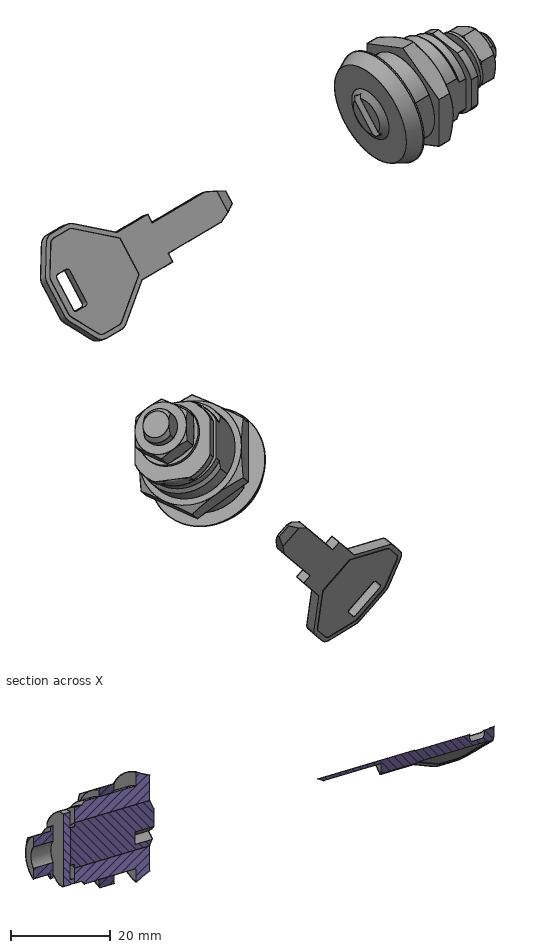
import cadquery as cq
import math

KEY_ANGLE = 45

FLANGE_DIAMETER = 25.0
FLANGE_FACE_DIAMETER = 22.0
FLANGE_THICKNESS = 3.5
FLANGE_RIM = 0.3
BARREL_DIAMETER = 19.3
BARREL_LENGTH = 15.0
FLAT_TO_FLAT = 15.9
RELIEF_DIAMETER = 17.8
RELIEF_LENGTH = 1.7
RELIEF_CONE_LENGTH = 0.7

CORE_DIAMETER = 11.4
CORE_BOSS_DIAMETER = 10.1
NOSE_TIP_DIAMETER = 8.0
NOSE_LENGTH = 1.0
CORE_END = 16.0
STUD_DIAMETER = 7.2
STUD_FLAT_TO_FLAT = 5.5
STUD_END = 27.5
STUD_CHAMFER_LENGTH = 0.9
STUD_CHAMFER_DEPTH = 0.8
SLOT_LENGTH = 9.2
SLOT_WIDTH = 2.4
SLOT_DEPTH = 4.6

MOUNTING_NUT_ACROSS_CORNERS = 25.4
MOUNTING_NUT_START = 5.2
MOUNTING_NUT_THICKNESS = 3.8

STOP_THICKNESS = 1.7
STOP_DIAMETER = 18.0
STOP_FLAT_TO_FLAT = 16.2
STOP_OFFSET = 0.3
TAB_OUTER_RADIUS = 8.9
TAB_INNER_RADIUS = 7.6
TAB_BEND_RADIUS = 0.6
TAB_ANGLE = 42

FLANGED_NUT_ACROSS_CORNERS = 12.8
FLANGED_NUT_START = 20.1
FLANGED_NUT_END = 25.0
NUT_FLANGE_DIAMETER = 12.9
NUT_FLANGE_THICKNESS = 0.7

NUT_CHAMFER_ANGLE = 30

KEY_TIP_Y = -41.1
KEY_LENGTH = 46.5
KEY_THICKNESS = 2.2
TIP_WIDTH = 2.9
TIP_THICKNESS = 0.5
TIP_BEVEL_LENGTH = 2.3
TIP_TAPER_LENGTH = 4.7
BLADE_WIDTH = 6.9
BLADE_LENGTH = 18.7
NECK_WIDTH = 10.8
NECK_END = 26.9
BOW_WIDTH = 23.8
BOW_WIDE_START = 35.5
BOW_WIDE_END = 41.6
BOW_END_WIDTH = 9.1
BOW_CORNER_RADIUS = 2.5
RECESS_MARGIN = 1.0
RECESS_DEPTH = 0.1
WINDOW_START = 40.5
WINDOW_LENGTH = 3.5
WINDOW_WIDTH = 8.3
WINDOW_CORNER_RADIUS = 0.6


def cross_section(y):
    """Workplane at height y on the lock axis: local x is X, local y is Z, +Y is a negative extrusion."""
    return cq.Workplane(cq.Plane(origin=(0, y, 0), xDir=(1, 0, 0), normal=(0, -1, 0)))


def disc(diameter, start, end):
    return cross_section(start).circle(diameter / 2).extrude(start - end)


def block(width, height, start, end):
    return cross_section(start).rect(width, height).extrude(start - end)


def turned(profile, angle=360):
    """Solid of revolution about the lock axis from (radius, y) points."""
    return cq.Workplane("XY").polyline(profile).close().revolve(angle, (0, 0, 0), (0, 1, 0))


def hexagon(across_corners, start, end):
    """Hexagonal prism with two corners on the Z axis."""
    prism = cross_section(start).polygon(6, across_corners).extrude(start - end)
    return prism.rotate((0, 0, 0), (0, 1, 0), 90)


def hex_nut(across_corners, start, end, bevel_front):
    """Hexagonal prism with conically beveled corners at its rear end and, if asked, at its front end."""
    corner = across_corners / 2
    inscribed = corner * math.sqrt(3) / 2
    drop = (corner - inscribed) * math.tan(math.radians(NUT_CHAMFER_ANGLE))
    front = [(corner, start)]
    if bevel_front:
        front = [(inscribed, start), (corner, start + drop)]
    rear = [(corner, end - drop), (inscribed, end)]
    envelope = turned([(0, start), *front, *rear, (0, end)])
    return hexagon(across_corners, start, end).intersect(envelope)


def make_housing():
    flange = turned([
        (0, -FLANGE_THICKNESS),
        (FLANGE_FACE_DIAMETER / 2, -FLANGE_THICKNESS),
        (FLANGE_DIAMETER / 2, -FLANGE_RIM),
        (FLANGE_DIAMETER / 2, 0),
        (0, 0),
    ])
    relief_start = BARREL_LENGTH - RELIEF_LENGTH
    barrel = turned([
        (0, 0),
        (BARREL_DIAMETER / 2, 0),
        (BARREL_DIAMETER / 2, relief_start - RELIEF_CONE_LENGTH),
        (RELIEF_DIAMETER / 2, relief_start),
        (RELIEF_DIAMETER / 2, BARREL_LENGTH),
        (0, BARREL_LENGTH),
    ])
    barrel = barrel.intersect(block(FLAT_TO_FLAT, BARREL_DIAMETER, 0, BARREL_LENGTH))
    bore = disc(CORE_DIAMETER, -FLANGE_THICKNESS, BARREL_LENGTH)
    return flange.union(barrel).cut(bore)


def make_stud():
    radius = STUD_DIAMETER / 2
    stud = turned([
        (0, CORE_END),
        (radius, CORE_END),
        (radius, STUD_END - STUD_CHAMFER_LENGTH),
        (radius - STUD_CHAMFER_DEPTH, STUD_END),
        (0, STUD_END),
    ])
    return stud.intersect(block(STUD_FLAT_TO_FLAT, STUD_DIAMETER, CORE_END, STUD_END))


def make_core():
    nose_tip = -FLANGE_THICKNESS - NOSE_LENGTH
    body = turned([
        (0, nose_tip),
        (NOSE_TIP_DIAMETER / 2, nose_tip),
        (CORE_DIAMETER / 2, -FLANGE_THICKNESS),
        (CORE_DIAMETER / 2, BARREL_LENGTH),
        (CORE_BOSS_DIAMETER / 2, BARREL_LENGTH),
        (CORE_BOSS_DIAMETER / 2, CORE_END),
        (0, CORE_END),
    ])
    slot = block(SLOT_LENGTH, SLOT_WIDTH, nose_tip, nose_tip + SLOT_DEPTH)
    slot = slot.rotate((0, 0, 0), (0, 1, 0), KEY_ANGLE)
    return body.union(make_stud()).cut(slot)


def make_mounting_nut():
    start = MOUNTING_NUT_START
    end = start + MOUNTING_NUT_THICKNESS
    nut = hex_nut(MOUNTING_NUT_ACROSS_CORNERS, start, end, bevel_front=False)
    return nut.cut(disc(BARREL_DIAMETER, start, end))


def make_stop_tab(rear):
    """Sector-shaped tab, centred below the axis, bent forward from the plate to the barrel end."""
    tab = turned([
        (TAB_INNER_RADIUS, BARREL_LENGTH),
        (TAB_OUTER_RADIUS, BARREL_LENGTH),
        (TAB_OUTER_RADIUS, rear),
        (TAB_INNER_RADIUS, rear),
    ], TAB_ANGLE)
    outer_rear_edge = cq.selectors.RadiusNthSelector(-1)
    tab = tab.faces(">Y").edges("%CIRCLE").edges(outer_rear_edge).fillet(TAB_BEND_RADIUS)
    return tab.rotate((0, 0, 0), (0, 1, 0), 90 - TAB_ANGLE / 2)


def make_stop_plate():
    rear = CORE_END + STOP_THICKNESS
    plate = disc(STOP_DIAMETER, CORE_END, rear)
    plate = plate.intersect(block(STOP_FLAT_TO_FLAT, STOP_FLAT_TO_FLAT, CORE_END, rear))
    plate = plate.translate((STOP_OFFSET, 0, -STOP_OFFSET))
    return plate.union(make_stop_tab(rear)).cut(make_stud())


def make_flanged_nut():
    hex_start = FLANGED_NUT_START + NUT_FLANGE_THICKNESS
    flange = disc(NUT_FLANGE_DIAMETER, FLANGED_NUT_START, hex_start)
    nut = hex_nut(FLANGED_NUT_ACROSS_CORNERS, hex_start, FLANGED_NUT_END, bevel_front=True)
    return flange.union(nut).cut(disc(STUD_DIAMETER, FLANGED_NUT_START, FLANGED_NUT_END))


def key_plate(widths, thickness):
    """Flat plate, symmetric about the key axis, from (full width, distance from tip) pairs."""
    right = [(width / 2, -distance) for width, distance in widths]
    left = [(-x, y) for x, y in reversed(right)]
    return cq.Workplane("XY").polyline(right + left).close().extrude(thickness / 2, both=True)


def make_key_shank():
    shank = key_plate([
        (TIP_WIDTH, 0),
        (BLADE_WIDTH, TIP_TAPER_LENGTH),
        (BLADE_WIDTH, BLADE_LENGTH),
        (NECK_WIDTH, BLADE_LENGTH),
        (NECK_WIDTH, NECK_END),
    ], KEY_THICKNESS)
    half_tip = TIP_THICKNESS / 2
    half_body = KEY_THICKNESS / 2
    side_profile = [
        (0, half_tip),
        (-TIP_BEVEL_LENGTH, half_body),
        (-NECK_END, half_body),
        (-NECK_END, -half_body),
        (-TIP_BEVEL_LENGTH, -half_body),
        (0, -half_tip),
    ]
    beveled = cq.Workplane("YZ").polyline(side_profile).close().extrude(NECK_WIDTH / 2, both=True)
    return shank.intersect(beveled)


def make_bow_plate(extension=0):
    """Bow with all but its two neck corners rounded; its sloping sides can be extended past the neck."""
    side_slope = (BOW_WIDTH - NECK_WIDTH) / (BOW_WIDE_START - NECK_END)
    plate = key_plate([
        (NECK_WIDTH - side_slope * extension, NECK_END - extension),
        (BOW_WIDTH, BOW_WIDE_START),
        (BOW_WIDTH, BOW_WIDE_END),
        (BOW_END_WIDTH, KEY_LENGTH),
    ], KEY_THICKNESS)
    corners = cq.StringSyntaxSelector("|Z")
    neck_corners = cq.StringSyntaxSelector(">Y")
    return plate.edges(cq.selectors.SubtractSelector(corners, neck_corners)).fillet(BOW_CORNER_RADIUS)


def make_bow_recess():
    """Shallow pocket in the upper face that leaves a rim around the bow and reaches the neck."""
    outline = make_bow_plate(extension=RECESS_MARGIN).faces(">Z").wires().val()
    inset = outline.offset2D(-RECESS_MARGIN)[0]
    return cq.Workplane(cq.Solid.extrudeLinear(inset, [], cq.Vector(0, 0, -RECESS_DEPTH)))


def make_key_bow():
    bow = make_bow_plate()
    recess = make_bow_recess()
    window = (
        cq.Workplane("XY")
        .center(0, -WINDOW_START - WINDOW_LENGTH / 2)
        .rect(WINDOW_WIDTH, WINDOW_LENGTH)
        .extrude(KEY_THICKNESS / 2, both=True)
        .edges("|Z")
        .fillet(WINDOW_CORNER_RADIUS)
    )
    return bow.cut(recess).cut(recess.mirror("XY")).cut(window)


def make_key():
    key = make_key_shank().union(make_key_bow())
    return key.rotate((0, 0, 0), (0, 1, 0), KEY_ANGLE).translate((0, KEY_TIP_Y, 0))


housing = make_housing()
core = make_core()
mounting_nut = make_mounting_nut()
stop_plate = make_stop_plate()
flanged_nut = make_flanged_nut()
key = make_key()

result = cq.Compound.makeCompound(
    [
        housing.val(),
        core.val(),
        mounting_nut.val(),
        stop_plate.val(),
        flanged_nut.val(),
        key.val(),
    ]
)